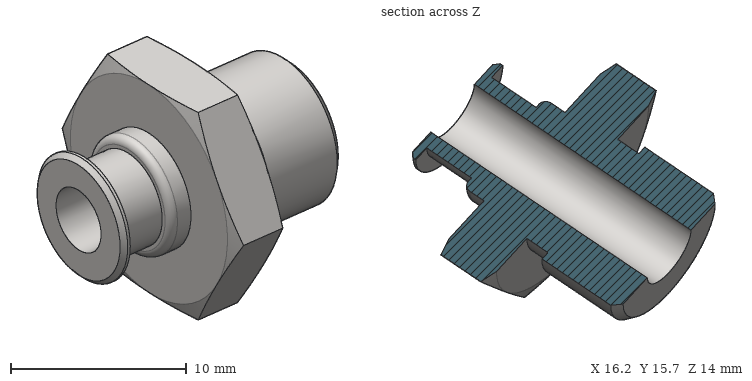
import cadquery as cq
import math

corner_width = 16.17
flat_width = corner_width * math.cos(math.pi / 6)
bore_diameter = 4.01

lip_length = 0.5
neck_length = 3.2
collar_length = 1.5
hex_length = 3.5
relief_length = 1.5
spigot_length = 5.5

lip_diameter = 8.02
neck_diameter = 6.0
collar_diameter = 7.5
relief_diameter = 8.41
spigot_diameter = 9.49

lip_chamfer = 0.3
collar_fillet = 0.5
spigot_chamfer = 0.5
hex_chamfer_depth = 0.29

neck_start = lip_length
collar_start = neck_start + neck_length
hex_start = collar_start + collar_length
relief_start = hex_start + hex_length
spigot_start = relief_start + relief_length
total_length = spigot_start + spigot_length


def cylinder(start, length, diameter):
    """Cylinder about the Y axis, extending toward +Y from start."""
    plane = cq.Workplane("XZ", origin=(0, start, 0))
    return plane.circle(diameter / 2).extrude(-length)


def chamfered_hexagon():
    """Hexagon with corners on X, its corners turned down by a shallow cone on both faces."""
    blank = (
        cq.Workplane("XZ", origin=(0, hex_start, 0))
        .polygon(6, corner_width)
        .extrude(-hex_length)
    )
    turned_profile = [
        (0, hex_start),
        (flat_width / 2, hex_start),
        (corner_width / 2, hex_start + hex_chamfer_depth),
        (corner_width / 2, relief_start - hex_chamfer_depth),
        (flat_width / 2, relief_start),
        (0, relief_start),
    ]
    envelope = (
        cq.Workplane("XY").polyline(turned_profile).close().revolve(360, (0, 0, 0), (0, 1, 0))
    )
    return blank.intersect(envelope)


lip = cylinder(0, lip_length, lip_diameter).faces("<Y").chamfer(lip_chamfer)
neck = cylinder(neck_start, neck_length, neck_diameter)
collar = cylinder(collar_start, collar_length, collar_diameter).faces("<Y").edges().fillet(collar_fillet)
relief = cylinder(relief_start, relief_length, relief_diameter)
spigot = cylinder(spigot_start, spigot_length, spigot_diameter).faces(">Y").chamfer(spigot_chamfer)

body = lip.union(neck).union(collar).union(chamfered_hexagon()).union(relief).union(spigot)

result = body.cut(cylinder(0, total_length, bore_diameter))